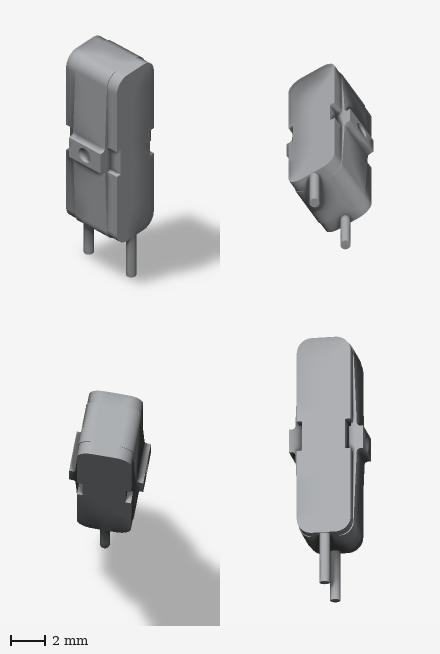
import cadquery as cq
import math

body_width = 4.0
body_height = 12.0
core_half_depth = 1.6
core_corner_radius = 0.9
mid_height = body_height / 2

notch_half_height = 0.9
notch_floor = 1.28

band_width = 2.5
band_draft = math.radians(2.5)
band_corner_radius = 0.8
band_inner_face = 1.47

pad_half_height = 0.7
pad_outer_face = 2.2
pad_inner_face = 1.37
pad_fillet_radius = 0.2
pad_hole_diameter = 0.96

pin_diameter = 0.6
pin_length = 3.0
pin_spacing = 3.34


def centered_box(width, depth, height):
    """Box centered on the body's mid height."""
    return cq.Workplane("XY").box(width, depth, height).translate((0, 0, mid_height))


def make_core():
    """Full-width block with its four long edges rounded."""
    core = centered_box(body_width, 2 * core_half_depth, body_height)
    return core.edges("|X").fillet(core_corner_radius)


def make_band():
    """Tapered band with its pads, solid from one pad to the other."""
    pad_bottom = mid_height - pad_half_height
    pad_top = mid_height + pad_half_height
    shoulder = core_half_depth + pad_bottom * math.tan(band_draft)
    right_side = [
        (core_half_depth, 0),
        (shoulder, pad_bottom),
        (pad_outer_face, pad_bottom),
        (pad_outer_face, pad_top),
        (shoulder, pad_top),
        (core_half_depth, body_height),
    ]
    left_side = [(-y, z) for y, z in reversed(right_side)]
    band = (
        cq.Workplane("YZ")
        .polyline(right_side + left_side)
        .close()
        .extrude(band_width / 2, both=True)
    )
    band = band.edges("|X and (<Z or >Z)").fillet(band_corner_radius)

    edge_reach = 0.01
    for side in (-1, 1):
        for z in (pad_bottom, pad_top):
            y = side * shoulder
            root = cq.selectors.BoxSelector(
                (-band_width, y - edge_reach, z - edge_reach),
                (band_width, y + edge_reach, z + edge_reach),
            )
            band = band.edges("|X").edges(root).fillet(pad_fillet_radius)
    return band


def make_slabs(inner_face, outer_face, half_height, width):
    """Pair of slabs, one on each side, lying between the inner and outer faces."""
    outer = centered_box(width, 2 * outer_face, 2 * half_height)
    return outer.cut(centered_box(width, 2 * inner_face, 2 * half_height))


def make_pad_holes():
    """Round cutters through both pads, opening into the gap behind them."""
    holes = (
        cq.Workplane("XZ", origin=(0, 0, mid_height))
        .circle(pad_hole_diameter / 2)
        .extrude(pad_outer_face, both=True)
    )
    return holes.cut(centered_box(body_width, 2 * notch_floor, body_height))


def make_pins():
    """Two round pins, one near each side of the body."""
    return (
        cq.Workplane("XY")
        .pushPoints([(-pin_spacing / 2, 0), (pin_spacing / 2, 0)])
        .circle(pin_diameter / 2)
        .extrude(-pin_length)
    )


core_notch = make_slabs(notch_floor, core_half_depth, notch_half_height, body_width)
band_recess = make_slabs(notch_floor, band_inner_face, notch_half_height, band_width)
pad_back = make_slabs(pad_inner_face, band_inner_face, pad_half_height, band_width)

core = make_core().cut(core_notch)
band = make_band().cut(band_recess)
result = core.union(band).union(pad_back).cut(make_pad_holes()).union(make_pins())